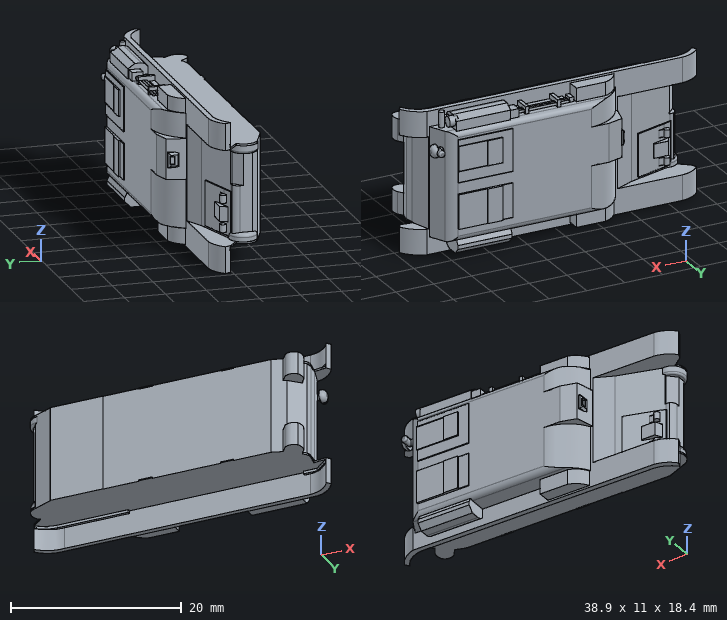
import cadquery as cq

length = 38.87
width = 18.4
hull_width = 12.25
half_length = length / 2
half_width = width / 2
side_plate_z = hull_width / 2
embed = 0.2
side_plate_thickness = 0.25
core_z = side_plate_z - side_plate_thickness
floor_y = -7.05
floor_front_x, floor_rear_x = -14.6, 13.95
nose_floor_edge = (-17.05, -6.0)
tail_edge = (15.75, -6.45)
nose_x, nose_y = -16.6, -4.4
nose_radius = 1.7
lug_x, lug_y, lug_radius = 16.8, -6.6, 1.15
guard_thickness = 0.7
guard_flat_front = -16.87
guard_flat_rear = 16.85
roof_y = 2.88
deck_front_x = -8.3
casemate_left_z, casemate_right_z = 7.2, -6.9
roof_front_x, roof_rear_x = -3.35, 14.25
rear_stowage_x = 7.1


def prism(sketch, z_low, z_high):
    """Extrude a closed XY outline between two Z levels."""
    return sketch.extrude(z_high - z_low).translate((0, 0, z_low))


def box(x, y, z):
    """Box from its (low, high) limits along each axis."""
    size = [high - low for low, high in (x, y, z)]
    return cq.Workplane("XY").box(*size, centered=False).translate((x[0], y[0], z[0]))


def z_rod(x, y, radius, z_low, z_high):
    return prism(cq.Workplane("XY").center(x, y).circle(radius), z_low, z_high)


def x_rod(y, z, radius, x_low, x_high):
    return cq.Workplane("YZ").center(y, z).circle(radius).extrude(x_high - x_low).translate((x_low, 0, 0))


def side_outline():
    """Hull side plate, from the guard nose round the floor to the guard tail."""
    return (
        cq.Workplane("XY")
        .moveTo(guard_flat_front, -embed)
        .threePointArc((-18.23, -0.85), (-19.15, -2.02))
        .lineTo(-17.75, -3.15)
        .threePointArc((nose_x - nose_radius, nose_y), nose_floor_edge)
        .lineTo(floor_front_x, floor_y)
        .lineTo(floor_rear_x, floor_y)
        .lineTo(*tail_edge)
        .lineTo(16.33, -6.02)
        .lineTo(17.1, -5.05)
        .threePointArc((17.55, -4.47), (17.6, -3.75))
        .lineTo(17.35, -2.45)
        .lineTo(19.05, -2.7)
        .threePointArc((18.15, -1.25), (guard_flat_rear, -embed))
        .close()
    )


def core_outline():
    """Hull between the side plates, with the two-step sloping front deck."""
    return (
        cq.Workplane("XY")
        .moveTo(deck_front_x, 0)
        .lineTo(-10.7, -1.1)
        .lineTo(-16.7, -2.85)
        .lineTo(-17.15, -2.85)
        .threePointArc((-17.53, -3.2), (-17.7, -3.65))
        .lineTo(-17.7, -5.15)
        .lineTo(*nose_floor_edge)
        .lineTo(floor_front_x, floor_y)
        .lineTo(floor_rear_x, floor_y)
        .lineTo(*tail_edge)
        .lineTo(17.5, -4.65)
        .lineTo(17.6, -3.75)
        .lineTo(17.5, -2.53)
        .lineTo(16.65, 0)
        .close()
    )


def hull():
    body = prism(core_outline(), -core_z, core_z)
    nose_flat = (
        cq.Workplane("XY")
        .polyline([(-17.7, -4.1), (-16.6, -3.0), (-16.6, -2.35), (-18.25, -2.35), (-18.25, -4.1)])
        .close()
    )
    body = body.cut(prism(nose_flat, 0.85, core_z))
    for inner, outer in ((-side_plate_z, -core_z), (core_z, side_plate_z)):
        body = body.union(prism(side_outline(), inner, outer))
    sheet_thickness = 0.06
    sheet_rear_x = -7.77
    front_floor_sheet = box(
        (floor_front_x, sheet_rear_x),
        (floor_y - sheet_thickness, floor_y + embed),
        (-side_plate_z, side_plate_z),
    )
    return body.union(front_floor_sheet)


def final_drive_housings():
    """Rounded discs just inside each side plate at the nose."""
    inner_z = 4.85
    left = z_rod(nose_x, nose_y, nose_radius, inner_z, core_z).faces("<Z").edges().fillet(0.27)
    right = z_rod(nose_x, nose_y + 0.08, nose_radius - 0.05, -core_z, -inner_z).faces(">Z").edges().fillet(0.5)
    return left.union(right)


def rear_lugs():
    """Two hooked lugs hanging below the tail."""
    outline = (
        cq.Workplane("XY")
        .moveTo(15.3, -6.55)
        .lineTo(15.95, -7.4)
        .threePointArc((lug_x, lug_y - lug_radius), (17.65, -7.4))
        .threePointArc((17.85, lug_y), (17.7, -5.9))
        .lineTo(17.1, -5.05)
        .lineTo(16.33, -5.05)
        .close()
    )
    lug = prism(outline, 3.23, side_plate_z)
    return lug.union(lug.mirror("XY"))


def floor_tabs():
    """Small tabs under both bottom edges."""
    tab = 0.1
    tabs = cq.Workplane("XY")
    for x_low, x_high in ((-3.15, -1.4), (7.5, 9.15)):
        for z_low in (-side_plate_z, side_plate_z - tab):
            tabs = tabs.union(box((x_low, x_high), (floor_y - tab, floor_y + embed), (z_low, z_low + tab)))
    return tabs


def track_guards():
    outline = (
        cq.Workplane("XY")
        .moveTo(guard_flat_front, 0)
        .lineTo(guard_flat_rear, 0)
        .threePointArc((18.4, -0.8), (half_length, -2.1))
        .lineTo(19.05, -2.7)
        .threePointArc((17.88, -1.35), (16.05, -guard_thickness))
        .lineTo(-15.8, -guard_thickness)
        .threePointArc((-17.72, -1.0), (-19.15, -2.02))
        .lineTo(-half_length, -1.32)
        .threePointArc((-18.4, -0.45), (guard_flat_front, 0))
        .close()
    )
    guard = prism(outline, core_z, half_width)
    front_bead = (
        cq.Workplane("XY")
        .moveTo(-7.4, -0.6)
        .lineTo(-7.4, -1.05)
        .lineTo(-16.52, -1.05)
        .threePointArc((-17.88, -1.32), (-19.0, -2.02))
        .lineTo(-19.15, -1.9)
        .lineTo(-16.7, -0.6)
        .close()
    )
    rear_bead = (
        cq.Workplane("XY")
        .polyline([(15.3, -0.6), (15.3, -1.05), (17.1, -1.05), (18.95, -2.65), (19.05, -2.53), (16.9, -0.6)])
        .close()
    )
    bead_width = 0.35
    for bead in (front_bead, rear_bead):
        guard = guard.union(prism(bead, core_z, side_plate_z + bead_width))
    return guard.union(guard.mirror("XY"))


def spare_tray():
    """Rack standing on the nose slope, on one side only."""
    rack = (
        cq.Workplane("XY")
        .polyline([(-11.65, -1.15), (-15.63, -2.35), (-16.8, -2.72), (-16.8, -3.1), (-11.65, -1.75)])
        .close()
    )
    tray = prism(rack, -5.6, -0.05)
    block = cq.Workplane("XY").polyline([(-16.4, -2.65), (-15.9, -1.67), (-14.0, -1.67), (-14.0, -2.35)]).close()
    tray = tray.union(prism(block, -3.85, -2.02))
    post_width = 0.97
    for z_low in (-5.17, -1.6):
        tray = tray.union(z_rod(-15.9, -2.1, 0.4, z_low, z_low + post_width))
        tray = tray.union(box((-15.9, -14.0), (-2.72, -2.1), (z_low, z_low + post_width)))
    return tray


def casemate():
    outline = (
        cq.Workplane("XY")
        .moveTo(deck_front_x, -embed)
        .lineTo(-8.0, 0)
        .threePointArc((-5.68, 2.25), (roof_front_x, roof_y))
        .lineTo(roof_rear_x, roof_y)
        .threePointArc((15.0, 2.55), (15.55, 2.02))
        .lineTo(16.65, -embed)
        .close()
    )
    body = prism(outline, casemate_right_z, casemate_left_z)
    shoulder = 0.75
    envelope = (
        box((-9.7, half_length), (-roof_y, roof_y), (casemate_right_z, casemate_left_z))
        .edges("|X and >Y")
        .fillet(shoulder)
    )
    return body.intersect(envelope)


def side_bays():
    """Lower bays with rounded fronts that widen the casemate over the guards."""
    outline = (
        cq.Workplane("XY")
        .moveTo(-7.85, -embed)
        .lineTo(-7.85, 0)
        .threePointArc((-7.05, 1.0), (-5.85, 1.65))
        .lineTo(-2.02, 1.65)
        .lineTo(-2.02, -embed)
        .close()
    )
    return prism(outline, -8.95, 8.95)


def driver_hood():
    hood_z = (-0.8, 4.15)
    outline = (
        cq.Workplane("XY")
        .polyline([(deck_front_x, -embed), (-7.65, 2.35), (-5.65, roof_y), (-3.1, roof_y), (-3.1, -embed)])
        .close()
    )
    hood = prism(outline, *hood_z)
    port = box((-8.2, -7.4), (0.78, 2.18), (0.65, 2.53)).faces("<X").chamfer(0.27)
    opening = box((-8.35, -7.95), (1.4, 1.95), (1.13, 2.05))
    return hood.union(port).cut(opening)


def roof_fittings():
    """Two raised roof plates, each carrying a stepped hatch."""
    fittings = cq.Workplane("XY")
    for plate_z, hatch_z in (((-5.2, -0.78), (-5.2, -0.78)), ((0.7, 6.18), (2.18, 5.4))):
        fittings = fittings.union(box((rear_stowage_x, roof_rear_x), (roof_y - embed, 3.05), plate_z))
        fittings = fittings.union(box((8.5, 10.5), (roof_y - embed, 3.23), hatch_z))
        fittings = fittings.union(box((10.5, roof_rear_x), (roof_y - embed, 3.15), hatch_z))
    return fittings


def stowage_drums():
    """Faceted drums on the rear of both guards."""
    drum_length = roof_rear_x - rear_stowage_x
    left = (
        cq.Workplane("YZ")
        .moveTo(-0.1, 6.53)
        .lineTo(-0.1, 8.0)
        .threePointArc((0.2, 8.65), (0.8, 8.95))
        .lineTo(1.65, 8.95)
        .lineTo(2.5, 8.35)
        .lineTo(2.5, 6.53)
        .close()
    )
    right = (
        cq.Workplane("YZ")
        .moveTo(-0.1, -6.6)
        .lineTo(-0.1, -8.0)
        .threePointArc((0.4, -8.45), (1.0, -8.63))
        .lineTo(2.18, -8.63)
        .lineTo(roof_y, -7.9)
        .lineTo(roof_y, -7.4)
        .lineTo(2.45, -6.6)
        .close()
    )
    drums = cq.Workplane("XY")
    for section in (left, right):
        drums = drums.union(section.extrude(drum_length).translate((rear_stowage_x, 0, 0)))
    return drums.union(x_rod(1.67, 8.15, 0.65, roof_rear_x - 0.4, 15.0))


def tool_rack():
    """Horizontal rods held by two upright straps, with blocks at both ends."""
    rod_z = 7.55
    rack = box((5.9, 7.4), (1.0, 2.35), (6.8, 8.25))
    rack = rack.union(box((-1.8, -1.25), (0.3, 1.4), (6.8, 7.77)))
    rack = rack.union(box((-1.0, 7.2), (-0.1, 0.65), (6.8, 7.5)))
    for rod_y in (1.1, 1.4, 1.8):
        rack = rack.union(x_rod(rod_y, rod_z, 0.15, -1.0, 7.2))
    strap_width = 0.45
    for strap_x in (0.2, 4.45):
        rack = rack.union(box((strap_x, strap_x + strap_width), (-0.1, 2.02), (6.8, 8.12)))
    return rack


def tail_fittings():
    """Cross pin, and the pipe with its upright cap at the rear of the casemate."""
    pin_x, pin_y = 15.28, 0.65
    pipe_y, pipe_z = 1.5, 4.65
    cap_x, cap_radius = 16.3, 0.43
    pin = z_rod(pin_x, pin_y, 0.35, 6.2, 9.17)
    pipe = x_rod(pipe_y, pipe_z, 0.4, pin_x, 16.7)
    knob = x_rod(pipe_y, pipe_z, 0.8, 16.45, 17.18).faces(">X").edges().fillet(0.62)
    cap = (
        cq.Workplane("XZ", origin=(cap_x, pipe_y, pipe_z))
        .circle(cap_radius)
        .extrude(pipe_y - 2.9)
        .faces(">Y").edges().fillet(0.27)
    )
    bracket = x_rod(0.43, 8.15, 0.3, roof_rear_x - 0.4, pin_x)
    return pin.union(bracket).union(pipe).union(knob).union(cap)


result = hull()
for feature in (
    final_drive_housings, rear_lugs, floor_tabs, track_guards, spare_tray, casemate, side_bays,
    driver_hood, roof_fittings, stowage_drums, tool_rack, tail_fittings,
):
    result = result.union(feature())